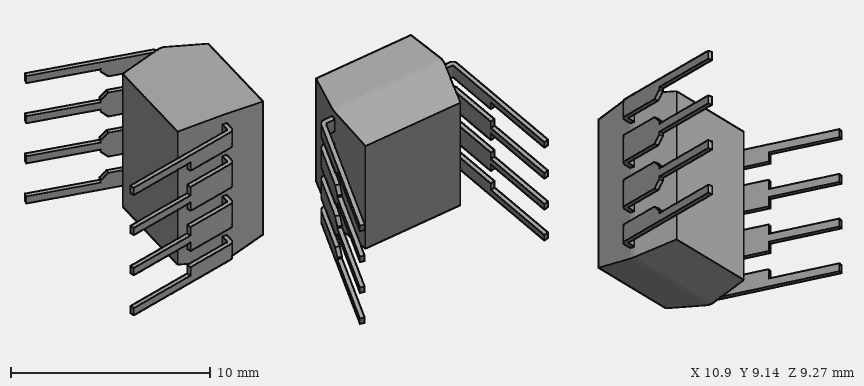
import cadquery as cq
import math

span = 10.92
overall_depth = 9.14
body_length = 9.27

body_width = 6.34
body_depth = 4.97
body_draft = 10.0

lead_thickness = 0.25
lead_pitch = 2.54
leads_per_side = 4
wide_width = 1.52
pin_width = 0.46
bend_radius = 0.04
leg_lean = 13.2
shoulder_depth = 2.84
shoulder_chamfer = 0.38

body_face = body_width / 2
half_thickness = lead_thickness / 2
lean = math.radians(leg_lean)
outer_radius = bend_radius + lead_thickness
bend_y = -half_thickness - bend_radius
tip_y = body_depth / 2 - overall_depth


def leg_length_to(y):
    """Length along the leg from the bend to where its inner surface reaches Y = y."""
    return (bend_y + bend_radius * math.sin(lean) - y) / math.cos(lean)


pin_length = leg_length_to(tip_y)
wide_length = leg_length_to(-shoulder_depth)
bend_x = span / 2 - pin_length * math.sin(lean) - outer_radius * math.cos(lean)


def make_body():
    """Flat parting band with a drafted half on its +Y and -Y faces."""
    half_depth = (body_depth - lead_thickness) / 2
    body = cq.Workplane("XY").box(body_width, lead_thickness, body_length)
    for face in (">Y", "<Y"):
        half = (
            body.faces(face).workplane(centerOption="CenterOfBoundBox")
            .rect(body_width, body_length)
            .extrude(half_depth, taper=body_draft, combine=False)
        )
        body = body.union(half)
    return body


def make_foot():
    """Straight strip leaving the body, ending in a bend that turns down to the leg."""
    arc_start = math.pi / 2
    arc_middle = (arc_start + lean) / 2

    def on_arc(radius, angle):
        return (bend_x + radius * math.cos(angle), bend_y + radius * math.sin(angle))

    return (
        cq.Workplane("XY")
        .moveTo(body_face, -half_thickness)
        .lineTo(body_face, half_thickness)
        .lineTo(*on_arc(outer_radius, arc_start))
        .threePointArc(on_arc(outer_radius, arc_middle), on_arc(outer_radius, lean))
        .lineTo(*on_arc(bend_radius, lean))
        .threePointArc(on_arc(bend_radius, arc_middle), on_arc(bend_radius, arc_start))
        .close()
        .extrude(wide_width / 2, both=True)
    )


def make_leg(chamfer):
    """Wide part and pin, built hanging straight down and then leaned about the bend centre."""
    wide = cq.Workplane("XY").box(
        lead_thickness, wide_length, wide_width, centered=(False, False, True)
    ).translate((bend_radius, -wide_length, 0))
    if chamfer > 0:
        wide = wide.edges("|X").edges("<Y").chamfer(chamfer)
    pin = cq.Workplane("XY").box(
        lead_thickness, pin_length, pin_width, centered=(False, False, True)
    ).translate((bend_radius, -pin_length, 0))
    leg = wide.union(pin)
    return leg.rotate((0, 0, 0), (0, 0, 1), leg_lean).translate((bend_x, bend_y, 0))


def trim_end_lead(lead, outward):
    """Remove the wide part beyond the pin on the side nearest the body end."""
    waste_height = (wide_width - pin_width) / 2
    waste = cq.Workplane("XY").box(span, 2 * overall_depth, waste_height)
    waste_z = outward * (pin_width + waste_height) / 2
    return lead.cut(waste.translate((span / 2, 0, waste_z)))


def make_lead(side, index):
    """One lead; side is +1 or -1 along X, index counts up along Z."""
    chamfer = shoulder_chamfer if side < 0 else 0
    lead = make_foot().union(make_leg(chamfer))
    if index == 0:
        lead = trim_end_lead(lead, -1)
    if index == leads_per_side - 1:
        lead = trim_end_lead(lead, 1)
    if side < 0:
        lead = lead.mirror("YZ")
    return lead.translate((0, 0, (index - (leads_per_side - 1) / 2) * lead_pitch))


body = make_body()
leads = [make_lead(side, index) for side in (-1, 1) for index in range(leads_per_side)]

result = cq.Compound.makeCompound([body.val(), *[lead.val() for lead in leads]])